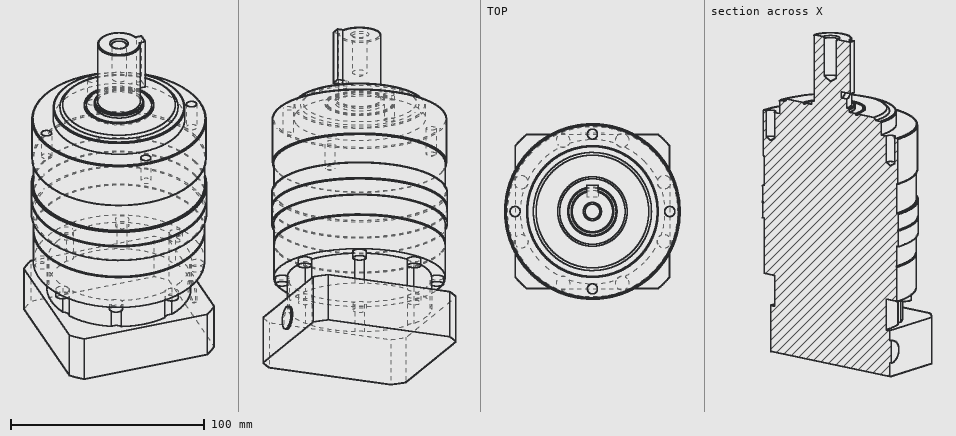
import cadquery as cq
import math

FLANGE_TOP = 24.8
HOUSING_BOTTOM = 41.1
SEAM_HEIGHT = 59.8
RING_BOTTOM = 70.7
RING_GROOVE_HEIGHT = 79.5
RING_TOP = 88.5
HEAD_BOTTOM = 104.0
HEAD_TOP = 128.8
PILOT_TOP = 136.0
COVER_TOP = 137.4
COLLAR_TOP = 139.3
SHAFT_TOP = 175.0

CORE_RADIUS = 37.5
HOUSING_RADIUS = 44.5
RING_RADIUS = 45.5
HEAD_RADIUS = 45.2
PILOT_RADIUS = 34.1
COVER_RADIUS = 30.6
COVER_BEVEL = 1.4
SEAL_RADIUS = 17.0
COLLAR_RADIUS = 12.8
SHAFT_RADIUS = 11.0

EDGE_BREAK = 0.5
SEAM_SIZE = 0.4
SEAL_GROOVE_WIDTH = 1.0
SEAL_GROOVE_DEPTH = 0.7

FLANGE_SIDE = 80.0
FLANGE_CORNER_RADIUS = 52.5

PLUG_RADIUS = 6.0
PLUG_HEIGHT = 13.5
PLUG_PROJECTION = 0.9

BOLT_CIRCLE_RADIUS = 40.0
SCREW_COUNT = 8
SCREW_HEAD_RADIUS = 3.5
SCREW_HEAD_LENGTH = 3.5
FLUTE_RADIUS = 3.7
MOUNT_HOLE_COUNT = 4
MOUNT_HOLE_RADIUS = 2.6
MOUNT_HOLE_DEPTH = 14.0

KEY_WIDTH = 6.0
KEY_BOTTOM = 147.2
KEYWAY_FLOOR_Y = 7.5
KEY_HEIGHT = KEY_WIDTH
CENTRE_HOLE_RADIUS = 3.8
CENTRE_SINK_RADIUS = 4.7
CENTRE_HOLE_DEPTH = 21.0
DRILL_POINT_ANGLE = 118.0


def cylinder(radius, bottom, top):
    """Solid cylinder on the Z axis between two heights."""
    return cq.Workplane("XY").workplane(offset=bottom).circle(radius).extrude(top - bottom)


def turned(profile):
    """Solid of revolution about Z from (radius, height) points."""
    return cq.Workplane("XZ").polyline(profile).close().revolve(360, (0, 0, 0), (0, 1, 0))


def disc(radius, bottom, top, top_break=0.0, bottom_break=0.0):
    """Coaxial disc with chamfered rims where a break is given."""
    body = cylinder(radius, bottom, top)
    if top_break:
        body = body.faces(">Z").chamfer(top_break)
    if bottom_break:
        body = body.faces("<Z").chamfer(bottom_break)
    return body


def drill(radius, top, depth):
    """Blind hole tool with a conical tip below its full-diameter depth."""
    tip = radius / math.tan(math.radians(DRILL_POINT_ANGLE / 2))
    profile = [(0, top), (radius, top), (radius, top - depth), (0, top - depth - tip)]
    return turned(profile)


def around_bolt_circle(tool, count, first_angle):
    """Copies of an axial tool, evenly spaced on the bolt circle."""
    first = tool.translate((BOLT_CIRCLE_RADIUS, 0, 0)).rotate((0, 0, 0), (0, 0, 1), first_angle)
    copies = first
    for index in range(1, count):
        copies = copies.union(first.rotate((0, 0, 0), (0, 0, 1), index * 360 / count))
    return copies


def seam_groove(radius, height):
    """V-shaped groove round a cylinder of the given radius."""
    profile = [
        (radius - SEAM_SIZE, height),
        (radius + SEAM_SIZE, height - 2 * SEAM_SIZE),
        (radius + SEAM_SIZE, height + 2 * SEAM_SIZE),
    ]
    return turned(profile)


def make_flange():
    """Square motor flange with turned corners and a round plug on one side."""
    square = cq.Workplane("XY").rect(FLANGE_SIDE, FLANGE_SIDE).extrude(FLANGE_TOP)
    flange = square.intersect(cylinder(FLANGE_CORNER_RADIUS, 0, FLANGE_TOP))
    plug = (
        cq.Workplane("XZ", origin=(0, FLANGE_SIDE / 2, PLUG_HEIGHT))
        .circle(PLUG_RADIUS)
        .extrude(-PLUG_PROJECTION)
    )
    return flange.union(plug)


def make_core():
    """Fluted neck between flange and housing, with a screw head at the top of each flute."""
    first_angle = 180 / SCREW_COUNT
    flute = cylinder(FLUTE_RADIUS, FLANGE_TOP, HOUSING_BOTTOM)
    head = cylinder(SCREW_HEAD_RADIUS, HOUSING_BOTTOM - SCREW_HEAD_LENGTH, HOUSING_BOTTOM)
    core = cylinder(CORE_RADIUS, FLANGE_TOP, HOUSING_BOTTOM)
    core = core.cut(around_bolt_circle(flute, SCREW_COUNT, first_angle))
    return core.union(around_bolt_circle(head, SCREW_COUNT, first_angle))


def make_housing():
    """Round gear housing with a raised ring, seam grooves and a drilled output head."""
    housing = cylinder(HOUSING_RADIUS, HOUSING_BOTTOM, HEAD_BOTTOM)
    housing = housing.union(disc(RING_RADIUS, RING_BOTTOM, RING_TOP, EDGE_BREAK))
    housing = housing.union(disc(HEAD_RADIUS, HEAD_BOTTOM, HEAD_TOP, EDGE_BREAK, EDGE_BREAK))
    housing = housing.cut(seam_groove(HOUSING_RADIUS, SEAM_HEIGHT))
    housing = housing.cut(seam_groove(RING_RADIUS, RING_GROOVE_HEIGHT))
    mount_hole = drill(MOUNT_HOLE_RADIUS, HEAD_TOP, MOUNT_HOLE_DEPTH)
    return housing.cut(around_bolt_circle(mount_hole, MOUNT_HOLE_COUNT, 0))


def make_pilot():
    """Centring boss with a bevelled cover and a shallow groove round the shaft seal."""
    pilot = disc(PILOT_RADIUS, HEAD_TOP, PILOT_TOP, EDGE_BREAK)
    cover = turned([
        (0, PILOT_TOP),
        (COVER_RADIUS, PILOT_TOP),
        (COVER_RADIUS - COVER_BEVEL, COVER_TOP),
        (0, COVER_TOP),
    ])
    groove_floor = COVER_TOP - SEAL_GROOVE_DEPTH
    groove = cylinder(SEAL_RADIUS + SEAL_GROOVE_WIDTH, groove_floor, COVER_TOP)
    groove = groove.cut(cylinder(SEAL_RADIUS, groove_floor, COVER_TOP))
    return pilot.union(cover).cut(groove)


def make_shaft():
    """Output shaft with its collar, centre hole, round-ended keyway and flat-ended key."""
    shaft = disc(SHAFT_RADIUS, PILOT_TOP, SHAFT_TOP, EDGE_BREAK)
    shaft = shaft.union(disc(COLLAR_RADIUS, PILOT_TOP, COLLAR_TOP, EDGE_BREAK))

    sink = turned([
        (0, SHAFT_TOP),
        (CENTRE_SINK_RADIUS, SHAFT_TOP),
        (0, SHAFT_TOP - CENTRE_SINK_RADIUS),
    ])
    shaft = shaft.cut(drill(CENTRE_HOLE_RADIUS, SHAFT_TOP, CENTRE_HOLE_DEPTH)).cut(sink)

    keyway_plane = cq.Workplane("XZ", origin=(0, KEYWAY_FLOOR_Y, 0))
    keyway_end = keyway_plane.center(0, KEY_BOTTOM).circle(KEY_WIDTH / 2).extrude(-KEY_HEIGHT)
    key = (
        keyway_plane.center(0, (KEY_BOTTOM + SHAFT_TOP) / 2)
        .rect(KEY_WIDTH, SHAFT_TOP - KEY_BOTTOM)
        .extrude(-KEY_HEIGHT)
    )
    return shaft.cut(keyway_end).union(key)


result = make_flange()
for section in (make_core(), make_housing(), make_pilot(), make_shaft()):
    result = result.union(section)